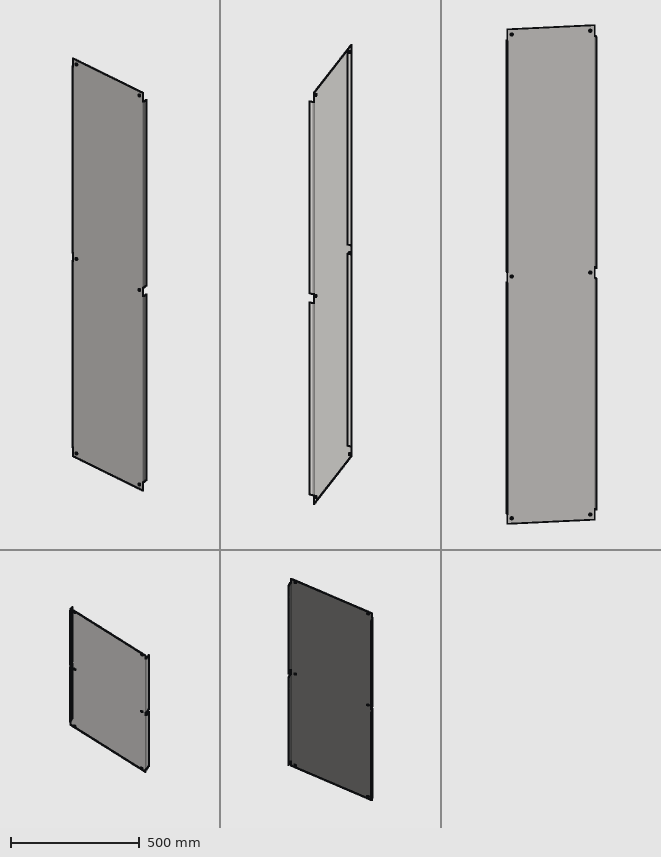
import cadquery as cq

width = 355.0
depth = 19.0
height = 1981.0
sheet = 2.0
bend_radius = 4.0

end_relief = 44.0
middle_gap = 44.0
flange_length = (height - middle_gap) / 2 - end_relief
flange_offset = (middle_gap + flange_length) / 2

hole_diameter = 9.0
hole_edge_x = 22.0
hole_edge_z = 22.0


def folded_channel(center_z):
    """Length of U-shaped sheet with rounded folds and both flanges."""
    outer = (
        cq.Workplane("XY")
        .box(width, depth, flange_length)
        .translate((0, depth / 2, center_z))
        .edges("|Z and <Y")
        .fillet(bend_radius)
    )
    inner = (
        cq.Workplane("XY")
        .box(width - 2 * sheet, depth, flange_length)
        .translate((0, depth / 2 + sheet, center_z))
        .edges("|Z and <Y")
        .fillet(bend_radius - sheet)
    )
    return outer.cut(inner)


def flat_plate():
    """Flat sheet over the full height, ending in X where the folds begin."""
    flat_width = width - 2 * bend_radius
    return cq.Workplane("XY").box(flat_width, sheet, height).translate((0, sheet / 2, 0))


def mounting_holes():
    """Through-hole cutters in two columns of three."""
    column_x = width / 2 - hole_edge_x
    row_z = height / 2 - hole_edge_z
    centers = [(x, z) for x in (-column_x, column_x) for z in (-row_z, 0, row_z)]
    return cq.Workplane("XZ").pushPoints(centers).circle(hole_diameter / 2).extrude(depth, both=True)


result = flat_plate()
for side in (-1, 1):
    result = result.union(folded_channel(side * flange_offset))
result = result.cut(mounting_holes())